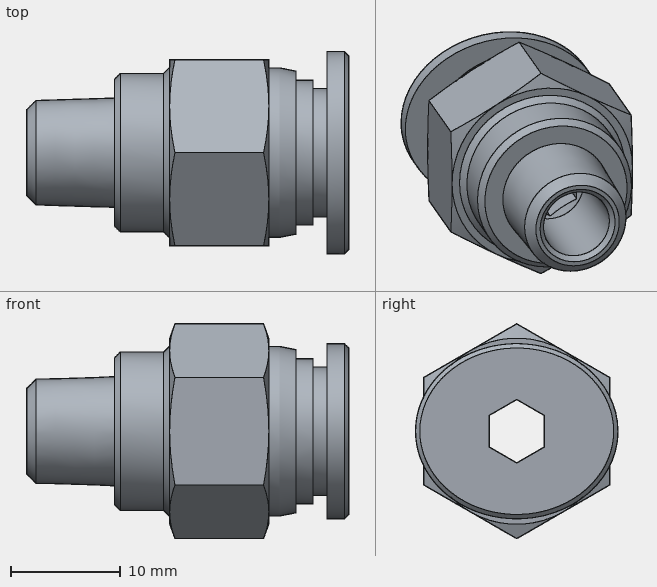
import cadquery as cq
import math

overall_length = 29.4

thread_length = 8.0
thread_base_radius = 5.0
thread_taper = 1 / 16
tip_chamfer = 0.85

shoulder_radius = 7.25
shoulder_chamfer = 0.55
shoulder_flare = 0.55
hex_start = 13.05

hex_length = 9.05
hex_across_flats = 17.0
hex_chamfer_angle = 20.0

sleeve_radius = 7.75
sleeve_straight_length = 1.0
sleeve_taper_length = 1.5
sleeve_end_radius = 7.45
step_radius = 6.63
step_length = 1.55
neck_radius = 5.88

collar_width = 18.5
collar_height = 16.0
collar_thickness = 2.0
collar_chamfer = 0.4

bore_radius = 3.1
bore_depth = 10.0
bore_chamfer = 0.43
drill_point_angle = 118.0
socket_across_flats = 5.0

hex_end = hex_start + hex_length
sleeve_taper_start = hex_end + sleeve_straight_length
sleeve_end = sleeve_taper_start + sleeve_taper_length
step_end = sleeve_end + step_length
collar_start = overall_length - collar_thickness
thread_tip_radius = thread_base_radius - thread_taper / 2 * (thread_length - tip_chamfer)


def revolve_profile(points):
    """Revolve an (x, radius) outline around the X axis."""
    return cq.Workplane("XY").polyline(points).close().revolve(360, (0, 0, 0), (1, 0, 0))


def hexagon_corner_radius(across_flats):
    """Distance from the centre of a regular hexagon to its corners."""
    return across_flats / 2 / math.cos(math.pi / 6)


def hexagonal_bar(across_flats, start, length):
    """Hexagonal prism along X with its corners at the top and bottom (+Z and -Z)."""
    corner_radius = hexagon_corner_radius(across_flats)
    corners = []
    for index in range(6):
        angle = math.pi / 2 + index * math.pi / 3
        corners.append((corner_radius * math.cos(angle), corner_radius * math.sin(angle)))
    return cq.Workplane("YZ").workplane(offset=start).polyline(corners).close().extrude(length)


def turned_body():
    """Thread, shoulder, stepped sleeve and neck as one turned shape."""
    return revolve_profile([
        (0, 0),
        (0, thread_tip_radius - tip_chamfer),
        (tip_chamfer, thread_tip_radius),
        (thread_length, thread_base_radius),
        (thread_length, shoulder_radius - shoulder_chamfer),
        (thread_length + shoulder_chamfer, shoulder_radius),
        (hex_start - shoulder_flare, shoulder_radius),
        (hex_start, shoulder_radius + shoulder_flare),
        (hex_end, sleeve_radius),
        (sleeve_taper_start, sleeve_radius),
        (sleeve_end, sleeve_end_radius),
        (sleeve_end, step_radius),
        (step_end, step_radius),
        (step_end, neck_radius),
        (collar_start, neck_radius),
        (collar_start, 0),
    ])


def wrench_hexagon():
    """Hexagon whose corners are turned off by a cone starting at the flats."""
    face_radius = hex_across_flats / 2
    outer_radius = hexagon_corner_radius(hex_across_flats)
    cone_length = (outer_radius - face_radius) * math.tan(math.radians(hex_chamfer_angle))
    turned_envelope = revolve_profile([
        (hex_start, 0),
        (hex_start, face_radius),
        (hex_start + cone_length, outer_radius),
        (hex_end - cone_length, outer_radius),
        (hex_end, face_radius),
        (hex_end, 0),
    ])
    return hexagonal_bar(hex_across_flats, hex_start, hex_length).intersect(turned_envelope)


def release_collar():
    """Elliptical plate, longer across Y, with a chamfered rear edge."""
    plate = (
        cq.Workplane("YZ")
        .workplane(offset=collar_start)
        .ellipse(collar_width / 2, collar_height / 2)
        .extrude(collar_thickness)
    )
    return plate.faces(">X").edges().chamfer(collar_chamfer)


def bore():
    """Chamfered round bore with a conical end."""
    cone_depth = bore_radius / math.tan(math.radians(drill_point_angle / 2))
    return revolve_profile([
        (0, 0),
        (0, bore_radius + bore_chamfer),
        (bore_chamfer, bore_radius),
        (bore_depth, bore_radius),
        (bore_depth + cone_depth, 0),
    ])


socket = hexagonal_bar(socket_across_flats, 0, overall_length)

result = turned_body().union(wrench_hexagon()).union(release_collar()).cut(bore()).cut(socket)